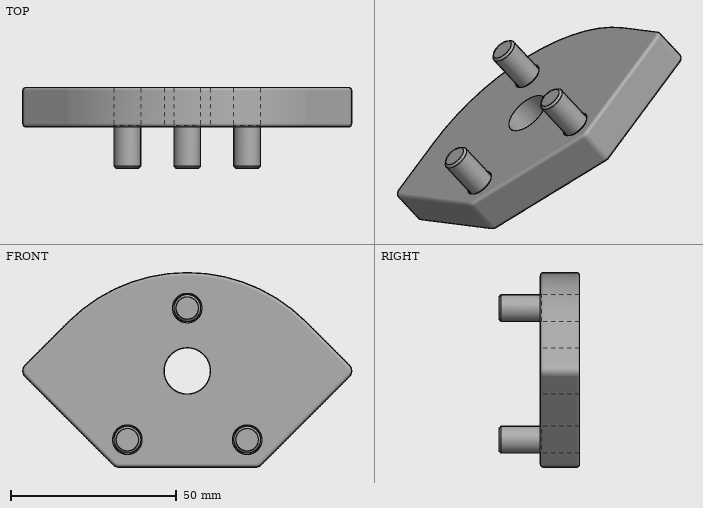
import cadquery as cq
import math

plate_width = 99.7
plate_height = 59.0
plate_thickness = 12.0
pin_projection = 12.6

arc_radius = 50.9
corner_radius = 2.5
edge_radius = 1.0

bore_diameter = 14.0
pin_diameter = 8.2
pin_tip_chamfer = 0.7
pin_hole_chamfer = 0.4
top_pin_height = 19.0
lower_pin_height = -20.8
lower_pin_offset = 18.2

corner_setback = corner_radius * (math.sqrt(2) - 1)
side_x = plate_width / 2 + corner_setback
arc_center_z = side_x - arc_radius * math.sqrt(2)
arc_end_x = arc_radius / math.sqrt(2)
arc_end_z = arc_center_z + arc_end_x
top_z = arc_center_z + arc_radius
bottom_z = top_z - plate_height
bottom_x = side_x + bottom_z

pin_positions = [
    (0, top_pin_height),
    (-lower_pin_offset, lower_pin_height),
    (lower_pin_offset, lower_pin_height),
]


def plane_at(y):
    """Sketch plane at the given Y: local axes are X and Z, normal points to -Y."""
    return cq.Workplane("XZ", origin=(0, y, 0))


def make_plate_blank():
    """Fan-shaped plate with rounded corners and rims."""
    blank = (
        plane_at(plate_thickness)
        .moveTo(-bottom_x, bottom_z)
        .lineTo(bottom_x, bottom_z)
        .lineTo(side_x, 0)
        .lineTo(arc_end_x, arc_end_z)
        .threePointArc((0, top_z), (-arc_end_x, arc_end_z))
        .lineTo(-side_x, 0)
        .close()
        .extrude(plate_thickness)
    )
    lower_half = cq.selectors.BoxSelector(
        (-plate_width, -plate_thickness, -plate_height),
        (plate_width, 2 * plate_thickness, corner_radius),
    )
    blank = blank.edges("|Y").edges(lower_half).fillet(corner_radius)
    return blank.faces("<Y or >Y").edges().fillet(edge_radius)


def make_pin_hole(x, z):
    """Through hole for one pin, chamfered at the front face."""
    hole = plane_at(plate_thickness).center(x, z).circle(pin_diameter / 2).extrude(plate_thickness)
    mouth = cq.Solid.makeCone(
        pin_diameter / 2 + pin_hole_chamfer,
        pin_diameter / 2,
        pin_hole_chamfer,
        pnt=cq.Vector(x, 0, z),
        dir=cq.Vector(0, 1, 0),
    )
    return hole.union(cq.Workplane(mouth))


def make_plate():
    """Plate with its central bore and three through holes for the pins."""
    bore = plane_at(plate_thickness).circle(bore_diameter / 2).extrude(plate_thickness)
    plate = make_plate_blank().cut(bore)
    for x, z in pin_positions:
        plate = plate.cut(make_pin_hole(x, z))
    return plate


def make_pin(x, z):
    """Pin flush with the back of the plate, chamfered at its free end."""
    return (
        plane_at(plate_thickness)
        .center(x, z)
        .circle(pin_diameter / 2)
        .extrude(plate_thickness + pin_projection)
        .faces("<Y")
        .chamfer(pin_tip_chamfer)
    )


plate = make_plate()
pins = [make_pin(x, z).val() for x, z in pin_positions]

result = cq.Compound.makeCompound([plate.val(), *pins])